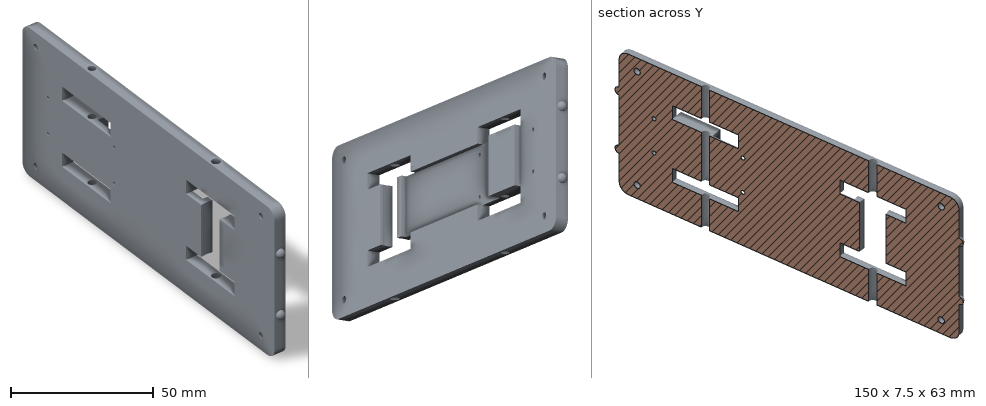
import cadquery as cq

PLATE_LENGTH = 146.4
PLATE_THICKNESS = 5.0
PLATE_HEIGHT = 63.0
CORNER_RADIUS = 4.2

CORNER_HOLE_X = 65.4
CORNER_HOLE_Z = 25.4
CORNER_HOLE_DIAMETER = 2.5
SMALL_HOLE_CENTRE_X = -39.0
SMALL_HOLE_SPACING_X = 38.2
SMALL_HOLE_SPACING_Z = 15.3
SMALL_HOLE_DIAMETER = 1.5

ROD_X = 36.0
LEFT_BORE_DIAMETER = 3.2
RIGHT_BORE_DIAMETER = 3.5
WINDOW_WIDTH = 28.2
WINDOW_HEIGHT = 6.0
WINDOW_PAIR_HEIGHT = 34.0
BRIDGE_HEIGHT = WINDOW_PAIR_HEIGHT - 2 * WINDOW_HEIGHT
WINDOW_Z = (BRIDGE_HEIGHT + WINDOW_HEIGHT) / 2

SLOT_WIDTH = 10.8
BEARING_DIAMETER = 11.2

PAD_WIDTH = 17.0
PAD_THICKNESS = 2.5
PAD_LEFT_X = -ROD_X - WINDOW_WIDTH / 2

POCKET_DEPTH = 2.1
POCKET_LEFT_X = PAD_LEFT_X + PAD_WIDTH
POCKET_RIGHT_X = 27.9
POCKET_WIDTH = POCKET_RIGHT_X - POCKET_LEFT_X

BUMP_RADIUS = (150.0 - PLATE_LENGTH) / 2
BUMP_Z = 13.0


def vertical_cylinder(x, diameter, height):
    """Cylinder along Z, centred at mid-thickness and mid-height of the plate."""
    return cq.Workplane("XY").center(x, 0).circle(diameter / 2).extrude(height / 2, both=True)


def holes_through_plate(points, diameter):
    """Round cutters along Y at the given (x, z) points."""
    return cq.Workplane("XZ").pushPoints(points).circle(diameter / 2).extrude(PLATE_THICKNESS, both=True)


def rectangle_points(centre_x, spacing_x, spacing_z):
    """Corners of a rectangle centred at height zero."""
    return [
        (centre_x + side * spacing_x / 2, level * spacing_z / 2)
        for side in (-1, 1)
        for level in (-1, 1)
    ]


plate = cq.Workplane("XY").box(PLATE_LENGTH, PLATE_THICKNESS, PLATE_HEIGHT).edges("|Y").fillet(CORNER_RADIUS)

pad = cq.Workplane("XY").box(PAD_WIDTH, PAD_THICKNESS, BRIDGE_HEIGHT).translate(
    (PAD_LEFT_X + PAD_WIDTH / 2, (PLATE_THICKNESS + PAD_THICKNESS) / 2, 0)
)
result = plate.union(pad)

for bump_x, bump_z in rectangle_points(0, PLATE_LENGTH, 2 * BUMP_Z):
    bump = cq.Workplane("XY").sphere(BUMP_RADIUS).translate((bump_x, 0, bump_z))
    result = result.union(bump)

window_centres = rectangle_points(0, 2 * ROD_X, 2 * WINDOW_Z)
windows = (
    cq.Workplane("XZ")
    .pushPoints(window_centres)
    .rect(WINDOW_WIDTH, WINDOW_HEIGHT)
    .extrude(PLATE_THICKNESS / 2, both=True)
)
result = result.cut(windows)

pocket = cq.Workplane("XY").box(POCKET_WIDTH, POCKET_DEPTH, BRIDGE_HEIGHT).translate(
    (POCKET_LEFT_X + POCKET_WIDTH / 2, (PLATE_THICKNESS - POCKET_DEPTH) / 2, 0)
)
result = result.cut(pocket)

slot = cq.Workplane("XY").box(SLOT_WIDTH, PLATE_THICKNESS, BRIDGE_HEIGHT).translate((ROD_X, 0, 0))
result = result.cut(slot)
result = result.cut(vertical_cylinder(ROD_X, BEARING_DIAMETER, BRIDGE_HEIGHT))

for rod_x, bore_diameter in ((-ROD_X, LEFT_BORE_DIAMETER), (ROD_X, RIGHT_BORE_DIAMETER)):
    result = result.cut(vertical_cylinder(rod_x, bore_diameter, PLATE_HEIGHT))

corner_points = rectangle_points(0, 2 * CORNER_HOLE_X, 2 * CORNER_HOLE_Z)
result = result.cut(holes_through_plate(corner_points, CORNER_HOLE_DIAMETER))
small_points = rectangle_points(SMALL_HOLE_CENTRE_X, SMALL_HOLE_SPACING_X, SMALL_HOLE_SPACING_Z)
result = result.cut(holes_through_plate(small_points, SMALL_HOLE_DIAMETER))